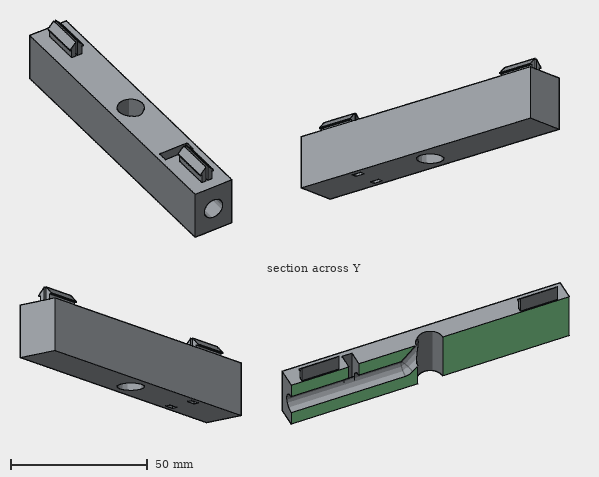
import cadquery as cq
import math

body_length = 112.0
body_width = 16.0
body_height = 20.0
mid_height = body_height / 2

bore_diameter = 10.0
channel_diameter = 8.0
channel_descent = 45.0

tie_slot_x = 30.8
tie_slot_thickness = 4.0
tie_slot_width = 12.0

clip_length = 15.0
clip_end_margin = 4.5
clip_height = 6.5
clip_gap = 0.8
clip_stem_width = 4.4
clip_head_width = 5.8
barb_base_height = 3.5
barb_lip = 0.3


def vertical_bore():
    return cq.Workplane("XY").circle(bore_diameter / 2).extrude(body_height)


def channel_leg(start, direction, length):
    leg = cq.Solid.makeCylinder(channel_diameter / 2, length, start, direction)
    return cq.Workplane(obj=leg)


def cable_channel():
    """Slopes down from the bore mouth to mid height, then runs out of the +X end."""
    slope = math.radians(channel_descent)
    drop = body_height - mid_height
    bend_x = drop / math.tan(slope)
    mouth = cq.Vector(0, 0, body_height)
    bend = cq.Vector(bend_x, 0, mid_height)
    down = cq.Vector(math.cos(slope), 0, -math.sin(slope))
    sloped = channel_leg(mouth, down, drop / math.sin(slope))
    level = channel_leg(bend, cq.Vector(1, 0, 0), body_length / 2 - bend_x)
    elbow = cq.Workplane("XY").sphere(channel_diameter / 2).translate(bend)
    return sloped.union(elbow).union(level)


def tie_slot():
    slot = (
        cq.Workplane("XY")
        .center(tie_slot_x, 0)
        .rect(tie_slot_thickness, tie_slot_width)
        .extrude(body_height)
    )
    saddle = (
        cq.Workplane("XY")
        .center(tie_slot_x, 0)
        .rect(tie_slot_thickness, channel_diameter)
        .extrude(mid_height)
    )
    return slot.cut(saddle)


def clip_arm(side, center_x):
    """One half of a clip; side is +1 or -1 along Y."""
    inner = side * clip_gap / 2
    stem = side * clip_stem_width / 2
    barb = side * clip_head_width / 2
    profile = [
        (inner, 0),
        (stem, 0),
        (stem, barb_base_height),
        (barb, barb_base_height),
        (barb, barb_base_height + barb_lip),
        (inner, clip_height),
    ]
    start = (center_x - clip_length / 2, 0, body_height)
    return cq.Workplane("YZ", origin=start).polyline(profile).close().extrude(clip_length)


result = cq.Workplane("XY").box(body_length, body_width, body_height, centered=(True, True, False))
result = result.cut(vertical_bore()).cut(cable_channel()).cut(tie_slot())

clip_x = body_length / 2 - clip_end_margin - clip_length / 2
for center_x in (-clip_x, clip_x):
    for side in (-1, 1):
        result = result.union(clip_arm(side, center_x))